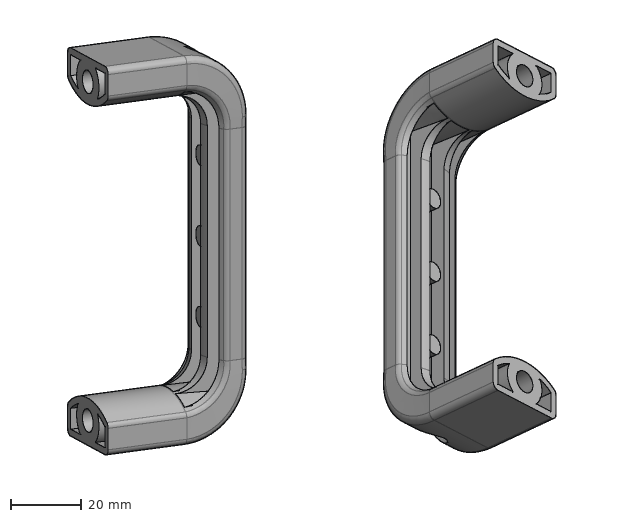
import cadquery as cq
import math

length = 114.7
reach = 45.0
foot_width = 25.9
grip_width = 24.1
half_length = length / 2

outer_radius = 20.0
inner_radius = 9.2
leg_thickness = 14.0
bend_y = reach - outer_radius
bend_z = half_length - leg_thickness - inner_radius
crown_radius = 20.0
edge_radius = 2.0

groove_floor_y = reach - 6.0
groove_mouth_y = bend_y + 0.3
groove_draft = 5.0
center_groove = (-2.5, 2.5)
side_groove = (6.2, 9.6)

peg_diameter = 6.0
peg_height = 3.2
peg_pitch = 23.9

screw_z = half_length - 7.3
screw_diameter = 6.8
counterbore_diameter = 12.6
pocket_wall = 2.1
pocket_depth = 20.0
boss_radius = 7.1

over = 2.3


def outer_block():
    """Upper half of the handle as a plain bar with a round outer corner."""
    return (
        cq.Workplane("YZ")
        .moveTo(0, 0)
        .lineTo(reach, 0)
        .lineTo(reach, half_length - outer_radius)
        .radiusArc((bend_y, half_length), -outer_radius)
        .lineTo(0, half_length)
        .close()
        .extrude(foot_width / 2, both=True)
    )


def width_envelope():
    """Space between the side faces, narrowing through the bend from foot to grip width."""
    near = 2.3
    far = 68.8
    leg = cq.Workplane("XY").box(foot_width, bend_y, half_length, centered=(True, False, False))
    grip = (
        cq.Workplane("XY").workplane(offset=-over).center(0, bend_y)
        .rect(grip_width, 2 * far).extrude(bend_z + over)
    )
    corners = ((-1, near), (1, near), (1, far), (-1, far))
    leg_end = cq.Wire.makePolygon(
        [cq.Vector(x * foot_width / 2, bend_y, bend_z + r) for x, r in corners],
        close=True,
    )
    grip_end = cq.Wire.makePolygon(
        [cq.Vector(x * grip_width / 2, bend_y + r, bend_z) for x, r in corners],
        close=True,
    )
    bend = cq.Workplane(cq.Solid.makeLoft([leg_end, grip_end], True))
    return leg.union(grip).union(bend)


def crown_drop(x):
    """Fall of the crowned inner surface at a distance x from the middle."""
    return crown_radius - math.sqrt(crown_radius**2 - x**2)


def crown_void(workplane):
    """Section of the opening, bounded by the crowned inner surface."""
    half = foot_width / 2 + over
    side = inner_radius + crown_drop(half)
    return (
        workplane.moveTo(-half, 0)
        .lineTo(-half, side)
        .threePointArc((0, inner_radius), (half, side))
        .lineTo(half, 0)
        .close()
    )


def opening():
    """Upper half of the space enclosed by legs and grip."""
    at_leg = cq.Workplane("XZ", origin=(0, bend_y, bend_z))
    along_leg = crown_void(at_leg).extrude(bend_y + over)
    around_bend = crown_void(at_leg).revolve(90, (0, 0), (-1, 0))
    at_grip = cq.Workplane("XY", origin=(0, bend_y, bend_z))
    along_grip = crown_void(at_grip).extrude(-bend_z - over)
    core = cq.Workplane("XY").box(2 * foot_width, bend_y + over, bend_z + over, centered=(True, False, False))
    core = core.translate((0, -over, -over))
    return along_leg.union(around_bend).union(along_grip).union(core)


def runs_lengthwise(edge):
    """True for an edge between a side face and the outer or inner surface."""
    middle = edge.positionAt(0.5)
    across = any(abs(middle.y - y) < 0.01 for y in (0, bend_y)) or any(
        abs(middle.z - z) < 0.01 for z in (0, bend_z))
    return abs(middle.x) > grip_width / 2 - 0.01 and not across


def leg_crown(radius):
    """Cylinder along Y, concentric with the crowned inner surface of the upper leg."""
    centre_z = bend_z + inner_radius + crown_radius
    return cq.Workplane("XZ", origin=(0, -over, centre_z)).circle(radius).extrude(-reach - over)


def groove(floor_start, floor_end):
    """Drafted groove along the upper half of the grip, ending on the leg's crowned surface."""
    depth = groove_floor_y - groove_mouth_y
    flare = depth * math.tan(math.radians(groove_draft))
    prism = (
        cq.Workplane("XY", origin=(0, 0, -over))
        .moveTo(floor_start, groove_floor_y)
        .lineTo(floor_end, groove_floor_y)
        .lineTo(floor_end + flare, groove_mouth_y)
        .lineTo(floor_start - flare, groove_mouth_y)
        .close()
        .extrude(half_length)
    )
    return prism.cut(leg_crown(crown_radius))


def pockets():
    """Pair of pockets in the upper foot, either side of the boss around the screw hole."""
    width = foot_width - 2 * pocket_wall
    block = cq.Workplane("XY").box(width, pocket_depth, half_length - pocket_wall, centered=(True, False, False))
    boss = cq.Workplane("XZ", origin=(0, 0, screw_z)).circle(boss_radius).extrude(-pocket_depth)
    return block.intersect(leg_crown(crown_radius - pocket_wall)).cut(boss)


def screw_hole():
    """Hole through the upper foot, counterbored from the outside of the bend."""
    hole = cq.Workplane("XZ", origin=(0, 0, screw_z)).circle(screw_diameter / 2).extrude(-reach)
    counterbore = (
        cq.Workplane("XZ", origin=(0, bend_y, screw_z))
        .circle(counterbore_diameter / 2).extrude(-outer_radius)
    )
    return hole.union(counterbore)


def peg(z):
    """Round peg rooted in the grip and standing up from the floor of the centre groove."""
    pin = cq.Workplane("XZ", origin=(0, reach - edge_radius, z)).circle(peg_diameter / 2)
    return pin.extrude(reach - edge_radius - groove_floor_y + peg_height)


bar = outer_block().intersect(width_envelope()).cut(opening())
bar = bar.newObject([edge for edge in bar.edges().vals() if runs_lengthwise(edge)]).fillet(edge_radius)
bar = bar.cut(groove(*center_groove))
for side in (-1, 1):
    floor_edges = sorted(side * x for x in side_groove)
    bar = bar.cut(groove(*floor_edges))
bar = bar.cut(pockets()).cut(screw_hole())

handle = bar.union(bar.mirror("XY"))
for row in (-1, 0, 1):
    handle = handle.union(peg(row * peg_pitch))
result = handle